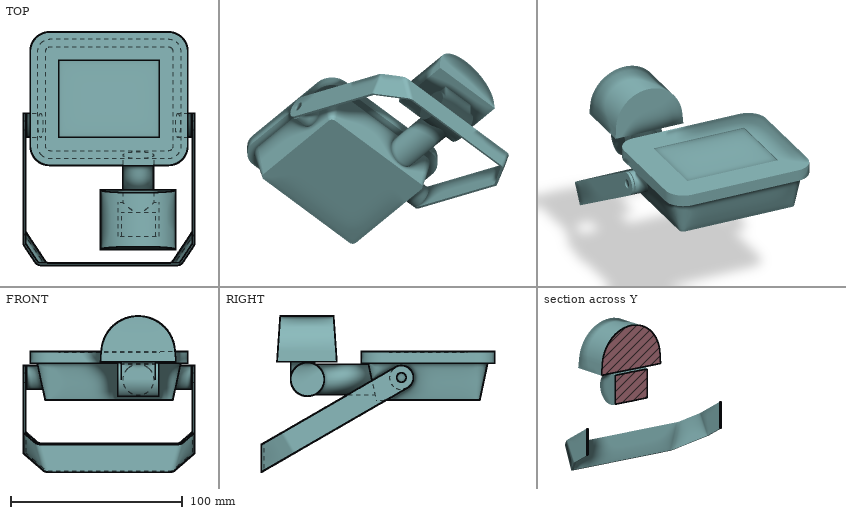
import cadquery as cq
import math


BRACKET_WIDTH = 100.0
SHEET = 1.5
STRIP_WIDTH = 14.0
BRACKET_TILT = 30.0
SHOULDER_ANGLE = 30.0
LEG_LENGTH = 76.3
FRONT_Y = -81.8
INNER_BEND_RADIUS = 1.8
OUTER_BEND_RADIUS = INNER_BEND_RADIUS + SHEET
PIVOT_HOLE_DIAMETER = 5.5

RIM_WIDTH = 92.0
RIM_LENGTH = 78.0
RIM_CENTER_Y = 15.5
RIM_HEIGHT = 7.0
RIM_BOTTOM_Z = 8.2
RIM_CORNER_RADIUS = 11.5
BODY_INSET = 4.2
BODY_HEIGHT = 21.4
BODY_TAPER = 12.0
WINDOW_WIDTH = 58.8
WINDOW_LENGTH = 45.0
WINDOW_RECESS = 0.5
PIVOT_BOSS_DIAMETER = STRIP_WIDTH
PIVOT_BOSS_CLEARANCE = 0.5

SENSOR_X = 17.0
SENSOR_Y = -55.1
SENSOR_WIDTH = 44.0
SENSOR_LENGTH = 35.0
SENSOR_BOTTOM_Z = 9.1
SENSOR_HEIGHT = 26.8
SENSOR_SKIRT_HEIGHT = 6.5
SENSOR_DRAFT = 4.0
ARM_DIAMETER = 18.0
KNUCKLE_DIAMETER = 19.64
KNUCKLE_LENGTH = 24.0
KNUCKLE_Y = -54.8
KNUCKLE_Z = -1.15
NECK_WIDTH = 20.0
NECK_LENGTH = 14.0


def cross_cylinder(diameter, length, x=0.0, y=0.0, z=0.0):
    """Cylinder along X, centred on the given point."""
    return cq.Workplane("YZ", origin=(x, y, z)).circle(diameter / 2).extrude(length / 2, both=True)


def make_housing():
    rim = (
        cq.Workplane("XY", origin=(0, RIM_CENTER_Y, RIM_BOTTOM_Z))
        .rect(RIM_WIDTH, RIM_LENGTH)
        .extrude(RIM_HEIGHT)
        .edges("|Z")
        .fillet(RIM_CORNER_RADIUS)
    )
    body_outline = (
        cq.Sketch()
        .rect(RIM_WIDTH - 2 * BODY_INSET, RIM_LENGTH - 2 * BODY_INSET)
        .vertices()
        .fillet(RIM_CORNER_RADIUS - BODY_INSET)
    )
    body = (
        cq.Workplane("XY", origin=(0, RIM_CENTER_Y, RIM_BOTTOM_Z))
        .placeSketch(body_outline)
        .extrude(-BODY_HEIGHT, taper=BODY_TAPER)
    )
    window = (
        cq.Workplane("XY", origin=(0, RIM_CENTER_Y, RIM_BOTTOM_Z + RIM_HEIGHT))
        .rect(WINDOW_WIDTH, WINDOW_LENGTH)
        .extrude(-WINDOW_RECESS)
    )
    pivot_bosses = cross_cylinder(PIVOT_BOSS_DIAMETER, BRACKET_WIDTH - 2 * (SHEET + PIVOT_BOSS_CLEARANCE))
    return rim.union(body).union(pivot_bosses).cut(window)


def make_sensor_head():
    """Arched head on a drafted skirt, with sloping end faces."""
    draft_slope = math.tan(math.radians(SENSOR_DRAFT))
    half_width = SENSOR_WIDTH / 2
    half_arch = half_width - SENSOR_SKIRT_HEIGHT * draft_slope
    arch = (
        cq.Workplane("XZ", origin=(SENSOR_X, SENSOR_Y, SENSOR_BOTTOM_Z))
        .moveTo(-half_width, 0)
        .lineTo(-half_arch, SENSOR_SKIRT_HEIGHT)
        .threePointArc((0, SENSOR_HEIGHT), (half_arch, SENSOR_SKIRT_HEIGHT))
        .lineTo(half_width, 0)
        .close()
        .extrude(SENSOR_LENGTH / 2, both=True)
    )
    half_bottom = SENSOR_LENGTH / 2
    half_top = half_bottom - SENSOR_HEIGHT * draft_slope
    side_profile = (
        cq.Workplane("YZ", origin=(SENSOR_X, SENSOR_Y, SENSOR_BOTTOM_Z))
        .polyline([
            (-half_bottom, 0),
            (half_bottom, 0),
            (half_top, SENSOR_HEIGHT),
            (-half_top, SENSOR_HEIGHT),
        ])
        .close()
        .extrude(half_width, both=True)
    )
    return arch.intersect(side_profile)


def make_sensor():
    knuckle = cross_cylinder(KNUCKLE_DIAMETER, KNUCKLE_LENGTH, SENSOR_X, KNUCKLE_Y, KNUCKLE_Z)
    neck_front_y = KNUCKLE_Y - KNUCKLE_DIAMETER / 2
    neck = (
        cq.Workplane("XY", origin=(SENSOR_X, neck_front_y + NECK_LENGTH / 2, KNUCKLE_Z))
        .rect(NECK_WIDTH, NECK_LENGTH)
        .extrude(SENSOR_BOTTOM_Z - KNUCKLE_Z)
    )
    arm = (
        cq.Workplane("XZ", origin=(SENSOR_X, 0, KNUCKLE_Z))
        .circle(ARM_DIAMETER / 2)
        .extrude(-KNUCKLE_Y)
    )
    return make_sensor_head().union(knuckle).union(neck).union(arm)


def bracket_envelope(half_width, leg_length, front_y, back_length, bend_radius):
    """Solid filling the bracket outline: straight legs, angled shoulders, upright front."""
    shoulder_run = half_width / 2
    tip_length = leg_length + shoulder_run / math.tan(math.radians(SHOULDER_ANGLE))
    tilted_block = (
        cq.Workplane("XY")
        .polyline([
            (half_width, back_length),
            (half_width, -leg_length),
            (half_width - shoulder_run, -tip_length),
            (shoulder_run - half_width, -tip_length),
            (-half_width, -leg_length),
            (-half_width, back_length),
        ])
        .close()
        .extrude(STRIP_WIDTH / 2, both=True)
        .faces("<X or >X")
        .edges("|Z and (not >Y)")
        .fillet(bend_radius)
        .rotate((0, 0, 0), (1, 0, 0), BRACKET_TILT)
    )
    behind_front = (
        cq.Workplane("XZ", origin=(0, front_y, 0))
        .rect(2 * BRACKET_WIDTH, 2 * BRACKET_WIDTH)
        .extrude(-2 * BRACKET_WIDTH)
    )
    return tilted_block.intersect(behind_front).faces("<Y").edges("not |X").fillet(bend_radius)


def make_bracket():
    half_width = BRACKET_WIDTH / 2
    inner_leg_length = LEG_LENGTH - SHEET * math.tan(math.radians(SHOULDER_ANGLE / 2))
    outer = bracket_envelope(half_width, LEG_LENGTH, FRONT_Y, 0, OUTER_BEND_RADIUS)
    inner = bracket_envelope(
        half_width - SHEET, inner_leg_length, FRONT_Y + SHEET, STRIP_WIDTH, INNER_BEND_RADIUS
    )
    round_ends = cross_cylinder(STRIP_WIDTH, BRACKET_WIDTH)
    between_legs = cross_cylinder(2 * STRIP_WIDTH, BRACKET_WIDTH - 2 * SHEET)
    pivot_holes = cross_cylinder(PIVOT_HOLE_DIAMETER, BRACKET_WIDTH)
    return outer.cut(inner).union(round_ends.cut(between_legs)).cut(pivot_holes)


lamp = make_housing().union(make_sensor())
bracket = make_bracket()

result = cq.Compound.makeCompound([lamp.val(), bracket.val()])